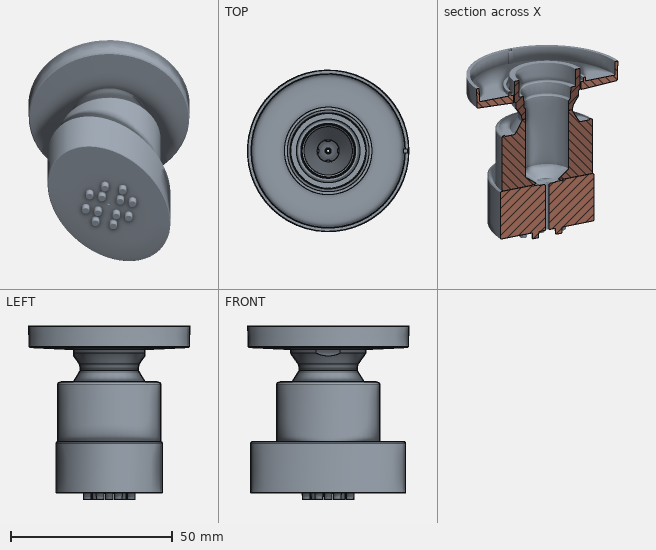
import cadquery as cq
import math

pin_length = 2.0
base_height = 16.0
base_top_z = pin_length + base_height
housing_top_z = 36.5
joint_z = 40.5
rim_z = 53.7

base_half_length = 24.0
base_half_width = 16.5
base_top_chamfer = 0.4
base_bottom_chamfer = 0.2
base_recess_radius = 5.5
base_recess_depth = 0.5
stub_height = 0.2

pin_root_radius = 1.25
pin_draft_angle = 2
pin_tip_round = 0.2
outer_pin_count = 8
outer_pin_circle = 7.35
inner_pin_count = 4
inner_pin_circle = 4.1

drain_radius = 0.5
drain_step_radius = 0.7
drain_mouth_radius = 0.95
drain_step_depth = 0.2

housing_radius = 16.0
shoulder_round = 0.65
shoulder_slope_angle = 20.0
lip_inner_radius = 14.8
spigot_root_radius = 11.45
spigot_groove_depth = 0.5
spigot_top_radius = 9.3
spigot_top_z = 39.45
neck_radius = 9.05
lower_neck_height = 0.6
bore_radius = 7.5
funnel_outlet_radius = 3.4
funnel_depth = 3.0

stem_radius = 11.65
flare_start_z = 42.0
flare_start_radius = 9.3
neck_blend_radius = 9.1
neck_blend_z = 41.3
neck_ring_z = 40.95
flare_end_z = 45.3
flat_distance = 11.05
mouth_radius = 9.85
mouth_floor_z = 48.1
throat_top_radius = 8.3
throat_seat_radius = 8.05
throat_chamfer = 0.2
seat_z = 44.2

dish_rim_radius = 25.0
dish_foot_radius = 24.85
dish_foot_z = 47.05
dish_foot_chamfer = 0.35
dish_hub_z = 46.5
dish_hub_radius = 13.0
dish_hole_clearance = 0.15
dish_floor_z = 49.2
dish_inner_rim_radius = 23.9
dish_inner_floor_radius = 23.75
collar_outer_radius = 13.55
collar_inner_radius = 12.65
collar_height = 1.3

key_width = 1.3
key_inner_x = 23.35
key_outer_x = 24.6
key_drop = 0.7


def revolve_outline(points):
    return cq.Workplane("XZ").polyline(points).close().revolve(360, (0, 0, 0), (0, 1, 0))


def pin_positions(count, circle_radius, start_angle):
    angles = [math.radians(start_angle + 360 * i / count) for i in range(count)]
    return [(circle_radius * math.cos(a), circle_radius * math.sin(a)) for a in angles]


def make_base():
    block = (
        cq.Workplane("XY", origin=(0, 0, pin_length))
        .ellipse(base_half_length, base_half_width)
        .extrude(base_height)
    )
    block = block.faces(">Z").edges().chamfer(base_top_chamfer)
    block = block.faces("<Z").edges().chamfer(base_bottom_chamfer)
    recess_floor_z = base_top_z - base_recess_depth
    recess = (
        cq.Workplane("XY", origin=(0, 0, recess_floor_z))
        .circle(base_recess_radius)
        .extrude(base_recess_depth)
    )
    block = block.cut(recess)

    inner_points = pin_positions(inner_pin_count, inner_pin_circle, 0)
    outer_points = pin_positions(outer_pin_count, outer_pin_circle, 180 / outer_pin_count)
    pins = (
        cq.Workplane("XY", origin=(0, 0, pin_length))
        .pushPoints(inner_points + outer_points)
        .circle(pin_root_radius)
        .extrude(-pin_length, taper=pin_draft_angle)
        .faces("<Z").edges().fillet(pin_tip_round)
    )
    stubs = (
        cq.Workplane("XY", origin=(0, 0, recess_floor_z))
        .pushPoints(inner_points)
        .circle(pin_root_radius)
        .extrude(stub_height)
    )
    drain = revolve_outline([
        (0, pin_length),
        (drain_radius, pin_length),
        (drain_radius, recess_floor_z - 2 * drain_step_depth),
        (drain_step_radius, recess_floor_z - 2 * drain_step_depth),
        (drain_step_radius, recess_floor_z - drain_step_depth),
        (drain_mouth_radius, recess_floor_z - drain_step_depth),
        (drain_mouth_radius, recess_floor_z),
        (0, recess_floor_z),
    ])
    return block.union(pins).union(stubs).cut(drain)


def make_housing():
    arc_center_radius = housing_radius - shoulder_round
    slope = math.radians(shoulder_slope_angle)
    arc_end_radius = arc_center_radius + shoulder_round * math.sin(slope)
    arc_end_z = housing_top_z - (arc_end_radius - lip_inner_radius) * math.tan(slope)
    arc_center_z = arc_end_z - shoulder_round * math.cos(slope)
    arc_mid_angle = (math.pi / 2 - slope) / 2
    arc_mid = (
        arc_center_radius + shoulder_round * math.cos(arc_mid_angle),
        arc_center_z + shoulder_round * math.sin(arc_mid_angle),
    )
    groove_floor_z = housing_top_z - spigot_groove_depth
    profile = (
        cq.Workplane("XZ")
        .moveTo(funnel_outlet_radius, base_top_z)
        .lineTo(housing_radius, base_top_z)
        .lineTo(housing_radius, arc_center_z)
        .threePointArc(arc_mid, (arc_end_radius, arc_end_z))
        .lineTo(lip_inner_radius, housing_top_z)
        .lineTo(lip_inner_radius, groove_floor_z)
        .lineTo(spigot_root_radius, groove_floor_z)
        .lineTo(spigot_top_radius, spigot_top_z)
        .lineTo(neck_radius, joint_z - lower_neck_height)
        .lineTo(neck_radius, joint_z)
        .lineTo(bore_radius, joint_z)
        .lineTo(bore_radius, base_top_z + funnel_depth)
        .close()
    )
    return profile.revolve(360, (0, 0, 0), (0, 1, 0))


def make_tube():
    tube = revolve_outline([
        (bore_radius, joint_z),
        (neck_radius, joint_z),
        (neck_radius, neck_ring_z),
        (neck_blend_radius, neck_blend_z),
        (flare_start_radius, flare_start_z),
        (stem_radius, flare_end_z),
        (stem_radius, rim_z),
        (mouth_radius, rim_z),
        (mouth_radius, mouth_floor_z),
        (throat_top_radius + throat_chamfer, mouth_floor_z),
        (throat_top_radius, mouth_floor_z - throat_chamfer),
        (throat_seat_radius, seat_z),
        (bore_radius, seat_z - (throat_seat_radius - bore_radius)),
    ])
    for side in (-1, 1):
        flat = cq.Workplane("XY").box(
            2 * stem_radius, stem_radius, dish_hub_z - joint_z, centered=(True, True, False)
        ).translate((0, side * (flat_distance + stem_radius / 2), joint_z))
        tube = tube.cut(flat)
    return tube


def make_dish():
    hole_radius = stem_radius + dish_hole_clearance
    dish = revolve_outline([
        (hole_radius, dish_hub_z),
        (dish_hub_radius, dish_hub_z),
        (dish_foot_radius - dish_foot_chamfer, dish_foot_z),
        (dish_foot_radius, dish_foot_z + dish_foot_chamfer),
        (dish_rim_radius, rim_z),
        (dish_inner_rim_radius, rim_z),
        (dish_inner_floor_radius, dish_floor_z),
        (collar_outer_radius, dish_floor_z),
        (collar_outer_radius, dish_floor_z + collar_height),
        (collar_inner_radius, dish_floor_z + collar_height),
        (collar_inner_radius, dish_floor_z),
        (hole_radius, dish_floor_z),
    ])
    key_length = key_outer_x - key_inner_x
    key_top_z = rim_z - key_drop
    key = cq.Workplane("XY").box(
        key_length, key_width, key_top_z - dish_floor_z, centered=(False, True, False)
    ).translate((key_inner_x, 0, dish_floor_z))
    notch = cq.Workplane("XY").box(
        key_length, key_width, key_drop, centered=(False, True, False)
    ).translate((key_inner_x, 0, key_top_z))
    return dish.union(key).cut(notch)


base = make_base()
housing = make_housing()
tube = make_tube()
dish = make_dish()

result = cq.Compound.makeCompound([base.val(), housing.val(), tube.val(), dish.val()])